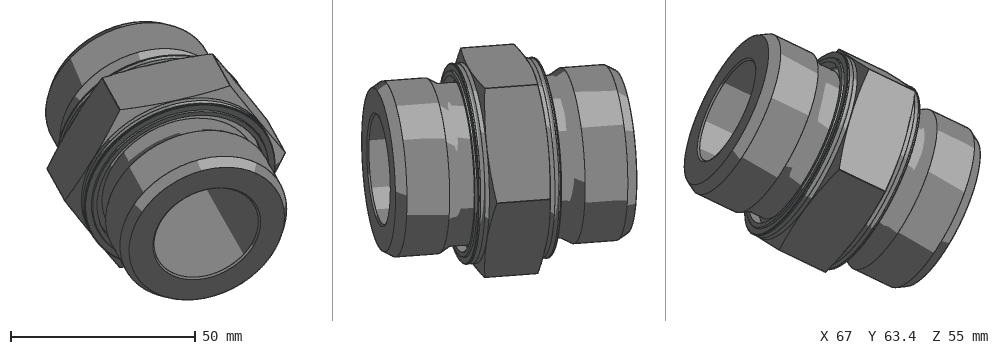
import cadquery as cq
import math


overall_length = 67.0
stud_length = 22.0
hex_length = 17.0

hex_across_flats = 55.0
hex_corner_diameter = 63.42
hex_chamfer_angle = math.radians(15)

collar_diameter = 54.8
collar_chamfer = 0.2
collar_groove_offset = 0.6
collar_groove_width = 1.2
collar_groove_depth = 0.25

thread_diameter = 48.0
thread_end_diameter = 44.7
undercut_diameter = 44.4
undercut_length = 7.3
undercut_fillet = 2.0
thread_cone_angle = math.radians(30)
shoulder_cone_start = 0.8
shoulder_cone_angle = math.radians(45)

bore_diameter = 30.0
bore_chamfer = 0.5

seal_recess_diameter = 51.05
seal_outer_diameter = 50.7
seal_inner_diameter = 48.2
seal_protrusion = 0.5

end_face = overall_length / 2
collar_face = end_face - stud_length
hex_face = hex_length / 2
shoulder_foot = collar_face - shoulder_cone_start
thread_start = collar_face + undercut_length
groove_outer_edge = collar_face - collar_groove_offset
groove_middle = groove_outer_edge - collar_groove_width / 2
groove_inner_edge = groove_outer_edge - collar_groove_width

bore_radius = bore_diameter / 2
thread_radius = thread_diameter / 2
thread_end_radius = thread_end_diameter / 2
undercut_radius = undercut_diameter / 2
collar_radius = collar_diameter / 2
seal_inner_radius = seal_inner_diameter / 2
hex_corner_radius = hex_corner_diameter / 2

seal_seat = shoulder_foot - (seal_inner_radius - undercut_radius) / math.tan(shoulder_cone_angle)


def cone_length(large_radius, small_radius):
    """Axial length of a thread cone between two radii."""
    return (large_radius - small_radius) / math.tan(thread_cone_angle)


def revolve_about_x(profile):
    """Revolve a closed (X, radius) profile a full turn about the X axis."""
    return profile.close().revolve(360, (0, 0, 0), (1, 0, 0))


def make_hex_section():
    """Hexagon prism with flats at +Z and -Z and conically chamfered corners."""
    hex_circumscribed_diameter = hex_across_flats / math.cos(math.pi / 6)
    prism = (
        cq.Workplane("YZ")
        .polygon(6, hex_circumscribed_diameter)
        .extrude(hex_length / 2, both=True)
    )
    chamfer_length = (hex_corner_radius - collar_radius) * math.tan(hex_chamfer_angle)
    corner_edge = hex_face - chamfer_length
    envelope = revolve_about_x(
        cq.Workplane("XY")
        .moveTo(-hex_face, 0)
        .lineTo(-hex_face, collar_radius)
        .lineTo(-corner_edge, hex_corner_radius)
        .lineTo(corner_edge, hex_corner_radius)
        .lineTo(hex_face, collar_radius)
        .lineTo(hex_face, 0)
    )
    return prism.intersect(envelope)


def make_collar_and_stud():
    """Solid collar, seal recess, undercut and threaded stud on the +X side."""
    fillet_tangent = undercut_fillet * math.tan(thread_cone_angle / 2)
    cone_foot = thread_start - cone_length(thread_radius, undercut_radius)
    fillet_start = cone_foot - fillet_tangent
    fillet_middle = (
        fillet_start + undercut_fillet * math.sin(thread_cone_angle / 2),
        undercut_radius + undercut_fillet * (1 - math.cos(thread_cone_angle / 2)),
    )
    fillet_finish = (
        cone_foot + fillet_tangent * math.cos(thread_cone_angle),
        undercut_radius + fillet_tangent * math.sin(thread_cone_angle),
    )
    thread_finish = end_face - cone_length(thread_radius, thread_end_radius)
    recess_radius = seal_recess_diameter / 2

    return revolve_about_x(
        cq.Workplane("XY")
        .moveTo(0, 0)
        .lineTo(0, collar_radius)
        .lineTo(groove_inner_edge, collar_radius)
        .threePointArc(
            (groove_middle, collar_radius - collar_groove_depth),
            (groove_outer_edge, collar_radius),
        )
        .lineTo(collar_face - collar_chamfer, collar_radius)
        .lineTo(collar_face, collar_radius - collar_chamfer)
        .lineTo(collar_face, recess_radius)
        .lineTo(seal_seat, recess_radius)
        .lineTo(seal_seat, seal_inner_radius)
        .lineTo(shoulder_foot, undercut_radius)
        .lineTo(fillet_start, undercut_radius)
        .threePointArc(fillet_middle, fillet_finish)
        .lineTo(thread_start, thread_radius)
        .lineTo(thread_finish, thread_radius)
        .lineTo(end_face, thread_end_radius)
        .lineTo(end_face, 0)
    )


def make_bore():
    """Through bore with a chamfer at each end, as a cutting solid."""
    mouth_radius = bore_radius + bore_chamfer
    chamfer_start = end_face - bore_chamfer
    return revolve_about_x(
        cq.Workplane("XY")
        .moveTo(-end_face, 0)
        .lineTo(-end_face, mouth_radius)
        .lineTo(-chamfer_start, bore_radius)
        .lineTo(chamfer_start, bore_radius)
        .lineTo(end_face, mouth_radius)
        .lineTo(end_face, 0)
    )


def make_housing():
    """Hexagon with a collar and stud on both sides, bored through."""
    right_half = make_collar_and_stud()
    left_half = right_half.mirror("YZ")
    return make_hex_section().union(right_half).union(left_half).cut(make_bore())


def make_seal_ring(side):
    """Flat seal ring seated in the recess on one side (+1 or -1 along X)."""
    ring_thickness = collar_face + seal_protrusion - seal_seat
    return (
        cq.Workplane("YZ", origin=(side * seal_seat, 0, 0))
        .circle(seal_outer_diameter / 2)
        .circle(seal_inner_diameter / 2)
        .extrude(side * ring_thickness)
    )


housing = make_housing()
seal_rings = [make_seal_ring(side) for side in (-1, 1)]

result = cq.Compound.makeCompound([housing.val(), *[ring.val() for ring in seal_rings]])